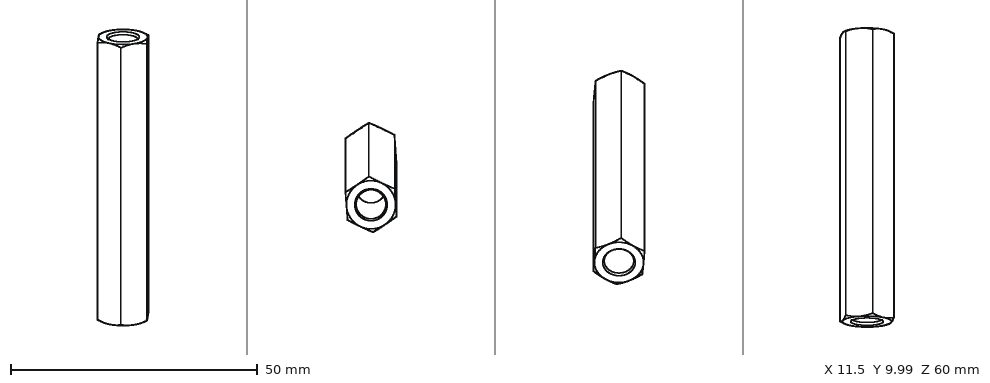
import cadquery as cq
import math

length = 60.0
across_corners = 11.54

end_face_diameter = 9.95
end_chamfer_angle = 30.0

bore_diameter = 6.0
bore_depth = 3 * bore_diameter
drill_point_angle = 120.0
mouth_diameter = 6.6
mouth_angle = 60.0

corner_radius = across_corners / 2
end_face_radius = end_face_diameter / 2
bore_radius = bore_diameter / 2
mouth_radius = mouth_diameter / 2


def hex_bar():
    """Hexagonal bar standing on Z = 0, with corners on the X axis."""
    return cq.Workplane("XY").polygon(6, across_corners).extrude(length)


def chamfer_envelope():
    """Round bar over the hexagon's corners, with both ends chamfered."""
    chamfer_height = (corner_radius - end_face_radius) * math.tan(math.radians(end_chamfer_angle))
    profile = [
        (0, 0),
        (end_face_radius, 0),
        (corner_radius, chamfer_height),
        (corner_radius, length - chamfer_height),
        (end_face_radius, length),
        (0, length),
    ]
    return cq.Workplane("XZ").polyline(profile).close().revolve(360, (0, 0), (0, 1))


def top_bore():
    """Countersunk blind bore with a conical bottom, entering from the top face."""
    mouth_depth = (mouth_radius - bore_radius) / math.tan(math.radians(mouth_angle / 2))
    point_depth = bore_radius / math.tan(math.radians(drill_point_angle / 2))
    bore_bottom = length - bore_depth
    profile = [
        (0, length),
        (mouth_radius, length),
        (bore_radius, length - mouth_depth),
        (bore_radius, bore_bottom),
        (0, bore_bottom - point_depth),
    ]
    return cq.Workplane("XZ").polyline(profile).close().revolve(360, (0, 0), (0, 1))


def bottom_bore():
    """The top bore mirrored about mid-length."""
    return top_bore().mirror("XY", (0, 0, length / 2))


result = hex_bar().intersect(chamfer_envelope()).cut(top_bore()).cut(bottom_bore())